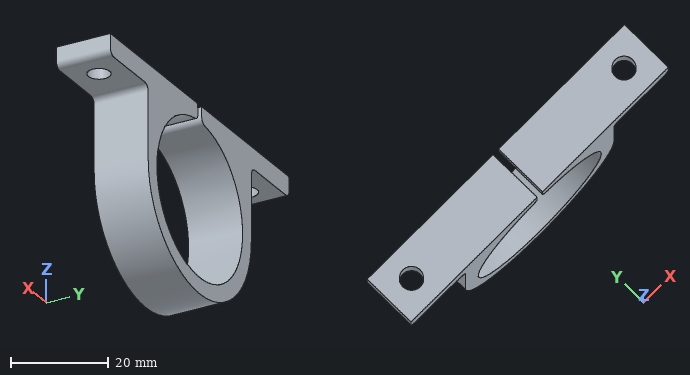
import cadquery as cq

length = 75.15
width = 12.8
height = 43.5
ring_radius = 21.7
bore_radius = 18.0

flange_thickness = 4.9
gap = 1.6
edge_radius = 1.5
hole_diameter = 4.95
hole_spacing = 62.0

band_margin = 0.4

top_z = height - ring_radius
flange_bottom_z = top_z - flange_thickness
half_length = length / 2


def clamp_body():
    """Solid U-shaped profile with a flange on each side, centred on Y = 0."""
    return (
        cq.Workplane("XZ")
        .moveTo(-half_length, top_z)
        .lineTo(half_length, top_z)
        .lineTo(half_length, flange_bottom_z)
        .lineTo(ring_radius, flange_bottom_z)
        .lineTo(ring_radius, 0)
        .threePointArc((0, -ring_radius), (-ring_radius, 0))
        .lineTo(-ring_radius, flange_bottom_z)
        .lineTo(-half_length, flange_bottom_z)
        .close()
        .extrude(width / 2, both=True)
    )


def edge_band(x_reach, z_low, z_high):
    """Selector for edges whose centres lie within a band of X and Z."""
    return cq.selectors.BoxSelector((-x_reach, -width, z_low), (x_reach, width, z_high))


bore = cq.Workplane("XZ").circle(bore_radius).extrude(width, both=True)
split = cq.Workplane("XY").box(gap, width, top_z, centered=(True, True, False))
body = clamp_body().cut(bore).cut(split)

underside_band = edge_band(length, flange_bottom_z - band_margin, flange_bottom_z + band_margin)
body = body.edges("|Y").edges(underside_band).fillet(edge_radius)
lip_band = edge_band(gap, bore_radius - band_margin, bore_radius + band_margin)
body = body.edges("|Y").edges(lip_band).fillet(edge_radius)

holes = (
    cq.Workplane("XY", origin=(0, 0, flange_bottom_z))
    .pushPoints([(side * hole_spacing / 2, 0) for side in (-1, 1)])
    .circle(hole_diameter / 2)
    .extrude(flange_thickness)
)
result = body.cut(holes)